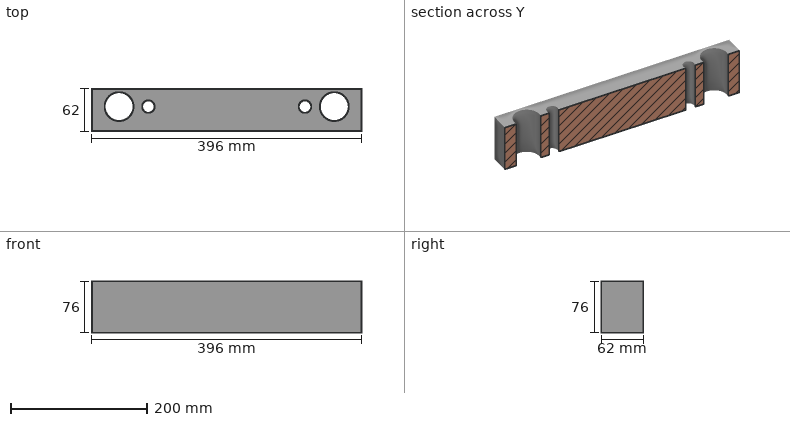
import cadquery as cq

LENGTH = 396.0
WIDTH = 62.0
HEIGHT = 76.0

LARGE_HOLE_DIAMETER = 42.0
LARGE_HOLE_SPACING = 316.0
SMALL_HOLE_DIAMETER = 18.0
SMALL_HOLE_SPACING = 230.0
HOLE_ROW_OFFSET = 5.0


def make_block():
    """Plain rectangular block, centred on X and Y with its base at Z = 0."""
    return cq.Workplane("XY").box(LENGTH, WIDTH, HEIGHT, centered=(True, True, False))


def cut_hole_pair(body, diameter, spacing):
    """Cut two vertical through holes, one near each end of the block."""
    centres = [(side * spacing / 2, HOLE_ROW_OFFSET) for side in (-1, 1)]
    cutters = cq.Workplane("XY").pushPoints(centres).circle(diameter / 2).extrude(HEIGHT)
    return body.cut(cutters)


result = make_block()
result = cut_hole_pair(result, LARGE_HOLE_DIAMETER, LARGE_HOLE_SPACING)
result = cut_hole_pair(result, SMALL_HOLE_DIAMETER, SMALL_HOLE_SPACING)